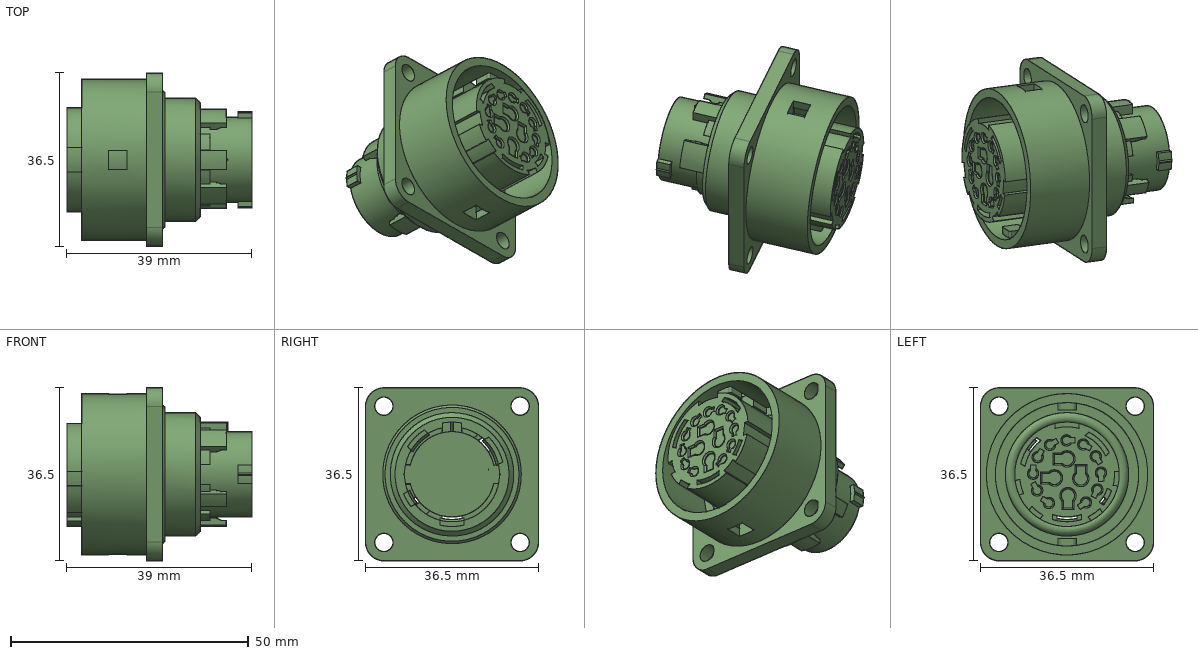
import cadquery as cq
import math


SHELL_FRONT = 3.1
FLANGE_FRONT = 16.75
FLANGE_THICKNESS = 3.4
FLANGE_BACK = FLANGE_FRONT + FLANGE_THICKNESS
COLLAR_BACK = FLANGE_BACK + 0.55
BARREL_BACK = 28.1
RING_FRONT = 26.1
RING_BACK = 30.1
FINGER_BACK = 33.6
KEY_FRONT = 36.0
TOTAL_LENGTH = 39.0
CAVITY_FLOOR = FLANGE_FRONT

INSERT_RADIUS = 9.0
RING_RADIUS = 10.0
NOSE_RADIUS = 11.0
BORE_RADIUS = 15.1
SHELL_RADIUS = 17.0
BARREL_RADIUS = 13.0
BARREL_CHAMFER = 1.0
COLLAR_RADIUS = 14.6
COLLAR_CHAMFER = 0.5
SEAL_OUTER_RADIUS = 13.0
SEAL_SECTION_RADIUS = 1.2

FLANGE_SIDE = 36.5
FLANGE_CORNER_RADIUS = 4.0
BOLT_PITCH = 28.7
BOLT_DIAMETER = 3.8

WINDOW_FRONT = 8.8
WINDOW_BACK = 12.6
WINDOW_WIDTH = 4.0
RIB_FRONT = 5.1
RIB_WIDTH = 3.9
RIB_TOP = 13.55
RIB_FILLET = 0.5

NOSE_GROOVES = [(90, 5.1), (-15, 3.1), (-51, 3.0), (-125, 3.0), (-175, 3.0)]

NOSE_SLOTS = [(31.5, 6.4), (135, 6.1), (210, 3.4), (270, 6.1)]

RING_GAP_WIDTH = 4.2
OPEN_GAP_ANGLES = [45, 225, 270]
BLIND_GAP_ANGLES = [90, 180]

TOP_BLOCK_WIDTH = 4.0
MARK_HALF_WIDTH = 0.3
MARK_HEIGHT = 0.3

FINGERS = [(135, 5.0), (210, 3.1), (270, 5.0), (29.5, 6.0)]
BARB_RADIUS = 9.5
BARB_TIP_RADIUS = 10.55
BARB_TAPER_START = 31.5

KEY_WIDTH = 3.9
KEY_RADIUS = 10.0
KEY_RIDGE_RADIUS = 10.2
KEY_RIDGE_BASE = KEY_RADIUS - 0.05
KEY_RIDGE_HALF_WIDTH = 0.35

CAVITY_DEPTH = 0.5
LARGE_RADIUS = 1.4
LARGE_STEM_WIDTH = 1.9
LARGE_STEM_LENGTH = 2.6
LARGE_CHAMFER = 0.32
LARGE_CAVITIES = [
    (0, 3.25, 0),
    (2.65, -0.75, 0),
    (-2.9, -0.9, 90),
    (-0.2, -4.5, -90),
]
SMALL_RADIUS = 0.87
SMALL_STEM_WIDTH = 1.1
SMALL_STEM_LENGTH = 1.8
SMALL_CHAMFER = 0.32
SMALL_CIRCLE_RADIUS = 7.15
SMALL_COUNT = 11
SMALL_PITCH = 29.4
SMALL_MIDDLE_ANGLE = 89.2


def cylinder(radius, x_start, x_end):
    return cq.Workplane("YZ", origin=(x_start, 0, 0)).circle(radius).extrude(x_end - x_start)


def turn_about_axis(shape, angle):
    return shape.rotate((0, 0, 0), (1, 0, 0), angle)


def radial_bar(inner, outer, width, angle, x_start, x_end):
    """Parallel-sided bar reaching outwards from the axis between two radii."""
    size = (x_end - x_start, outer, width)
    bar = cq.Workplane("XY").box(*size, centered=(False, False, True)).translate((x_start, 0, 0))
    bar = bar.intersect(cylinder(outer, x_start, x_end)).cut(cylinder(inner, x_start, x_end))
    return turn_about_axis(bar, angle)


def turned_body():
    """Shell, nose, seal bead, rear barrel, ring and insert as one turned shape."""
    seal_middle = SEAL_OUTER_RADIUS - SEAL_SECTION_RADIUS
    seal_contact = CAVITY_FLOOR - math.sqrt(SEAL_SECTION_RADIUS**2 - (seal_middle - NOSE_RADIUS) ** 2)
    seal_crest = (CAVITY_FLOOR - SEAL_SECTION_RADIUS, seal_middle)
    profile = (
        cq.Workplane("XY")
        .moveTo(0, 0)
        .lineTo(0, NOSE_RADIUS)
        .lineTo(seal_contact, NOSE_RADIUS)
        .threePointArc(seal_crest, (CAVITY_FLOOR, SEAL_OUTER_RADIUS))
        .lineTo(CAVITY_FLOOR, BORE_RADIUS)
        .lineTo(SHELL_FRONT, BORE_RADIUS)
        .lineTo(SHELL_FRONT, SHELL_RADIUS)
        .lineTo(FLANGE_BACK, SHELL_RADIUS)
        .lineTo(FLANGE_BACK, COLLAR_RADIUS)
        .lineTo(COLLAR_BACK, COLLAR_RADIUS - COLLAR_CHAMFER)
        .lineTo(COLLAR_BACK, BARREL_RADIUS)
        .lineTo(BARREL_BACK - BARREL_CHAMFER, BARREL_RADIUS)
        .lineTo(BARREL_BACK, BARREL_RADIUS - BARREL_CHAMFER)
        .lineTo(BARREL_BACK, RING_RADIUS)
        .lineTo(RING_BACK, RING_RADIUS)
        .lineTo(RING_BACK, INSERT_RADIUS)
        .lineTo(TOTAL_LENGTH, INSERT_RADIUS)
        .lineTo(TOTAL_LENGTH, 0)
        .close()
    )
    return profile.revolve(360, (0, 0, 0), (1, 0, 0))


def flange():
    """Square plate with rounded corners and four holes, open inside the shell wall."""
    plate = (
        cq.Workplane("YZ", origin=(FLANGE_FRONT, 0, 0))
        .rect(FLANGE_SIDE, FLANGE_SIDE)
        .extrude(FLANGE_THICKNESS)
        .edges("|X")
        .fillet(FLANGE_CORNER_RADIUS)
    )
    holes = (
        cq.Workplane("YZ", origin=(FLANGE_FRONT, 0, 0))
        .rect(BOLT_PITCH, BOLT_PITCH, forConstruction=True)
        .vertices()
        .circle(BOLT_DIAMETER / 2)
        .extrude(FLANGE_THICKNESS)
    )
    core = cylinder(BORE_RADIUS, FLANGE_FRONT, FLANGE_BACK)
    return plate.cut(holes).cut(core)


def bore_rib(angle):
    """Rib on the bore wall, rounded at the two upright edges of its front end."""
    wall_overlap = (BORE_RADIUS + SHELL_RADIUS) / 2
    rib = (
        cq.Workplane("XY")
        .box(CAVITY_FLOOR - RIB_FRONT, wall_overlap - RIB_TOP, RIB_WIDTH, centered=(False, False, True))
        .edges("|Y and <X")
        .fillet(RIB_FILLET)
        .translate((RIB_FRONT, RIB_TOP, 0))
    )
    return turn_about_axis(rib, angle)


def latch_finger(angle, width):
    """Finger over the ring with a barb that hooks behind it and tapers to the tip."""
    arm = radial_bar(RING_RADIUS, NOSE_RADIUS, width, 0, BARREL_BACK, FINGER_BACK)
    hook = radial_bar(BARB_RADIUS, NOSE_RADIUS, width, 0, RING_BACK, FINGER_BACK)
    taper = (
        cq.Workplane("XY")
        .moveTo(BARB_TAPER_START, 0)
        .lineTo(BARB_TAPER_START, BARB_RADIUS)
        .lineTo(FINGER_BACK, BARB_TIP_RADIUS)
        .lineTo(FINGER_BACK, 0)
        .close()
        .revolve(360, (0, 0, 0), (1, 0, 0))
    )
    return turn_about_axis(arm.union(hook.cut(taper)), angle)


def top_block():
    """Block standing on the insert, its end face carrying a V-shaped ridge."""
    block = radial_bar(INSERT_RADIUS, NOSE_RADIUS, TOP_BLOCK_WIDTH, 90, BARREL_BACK, FINGER_BACK)
    mark = (
        cq.Workplane("XY", origin=(0, 0, INSERT_RADIUS))
        .moveTo(FINGER_BACK, -MARK_HALF_WIDTH)
        .lineTo(FINGER_BACK + MARK_HEIGHT, 0)
        .lineTo(FINGER_BACK, MARK_HALF_WIDTH)
        .close()
        .extrude(NOSE_RADIUS - INSERT_RADIUS)
    )
    return block.union(mark)


def rear_key(angle):
    """Key on the rear of the insert with a V-shaped ridge along its middle."""
    key = radial_bar(INSERT_RADIUS, KEY_RADIUS, KEY_WIDTH, 0, KEY_FRONT, TOTAL_LENGTH)
    ridge = (
        cq.Workplane("YZ", origin=(KEY_FRONT, 0, 0))
        .moveTo(INSERT_RADIUS, -KEY_RIDGE_HALF_WIDTH)
        .lineTo(KEY_RIDGE_BASE, -KEY_RIDGE_HALF_WIDTH)
        .lineTo(KEY_RIDGE_RADIUS, 0)
        .lineTo(KEY_RIDGE_BASE, KEY_RIDGE_HALF_WIDTH)
        .lineTo(INSERT_RADIUS, KEY_RIDGE_HALF_WIDTH)
        .close()
        .extrude(TOTAL_LENGTH - KEY_FRONT)
    )
    return turn_about_axis(key.union(ridge), angle)


def keyhole(radius, stem_width, stem_length):
    """Blind round hole with a straight stem towards +Y, sunk from the front face."""
    stem = cq.Workplane("XY").box(CAVITY_DEPTH, stem_length, stem_width, centered=(False, False, True))
    return cylinder(radius, 0, CAVITY_DEPTH).union(stem)


def large_cavity(y, z, stem_angle):
    """Keyhole with its whole rim chamfered."""
    hole = keyhole(LARGE_RADIUS, LARGE_STEM_WIDTH, LARGE_STEM_LENGTH)
    outline = hole.faces("<X").wires().val()
    wide_outline = outline.offset2D(LARGE_CHAMFER, "intersection")[0]
    deep_outline = outline.translate(cq.Vector(LARGE_CHAMFER, 0, 0))
    rim = cq.Workplane(cq.Solid.makeLoft([wide_outline, deep_outline], True))
    hole = hole.union(rim)
    return turn_about_axis(hole, stem_angle).translate((0, y, z))


def small_cavity(angle):
    """Keyhole with a countersunk round part and a stem along the contact circle."""
    hole = keyhole(SMALL_RADIUS, SMALL_STEM_WIDTH, SMALL_STEM_LENGTH)
    countersink = (
        cq.Workplane("YZ")
        .circle(SMALL_RADIUS + SMALL_CHAMFER)
        .workplane(offset=SMALL_CHAMFER)
        .circle(SMALL_RADIUS)
        .loft()
    )
    hole = turn_about_axis(hole.union(countersink), 90)
    return turn_about_axis(hole.translate((0, SMALL_CIRCLE_RADIUS, 0)), angle)


body = turned_body().union(flange())

for side_angle in (90, -90):
    body = body.union(bore_rib(side_angle))
    body = body.cut(
        radial_bar(BARREL_RADIUS, FLANGE_SIDE / 2, WINDOW_WIDTH, side_angle, WINDOW_FRONT, WINDOW_BACK)
    )

for groove_angle, groove_width in NOSE_GROOVES:
    body = body.cut(radial_bar(RING_RADIUS, NOSE_RADIUS, groove_width, groove_angle, 0, CAVITY_FLOOR))

for slot_angle, slot_width in NOSE_SLOTS:
    body = body.cut(radial_bar(INSERT_RADIUS, RING_RADIUS, slot_width, slot_angle, 0, RING_FRONT))

for gap_angle in OPEN_GAP_ANGLES:
    body = body.cut(radial_bar(INSERT_RADIUS, RING_RADIUS, RING_GAP_WIDTH, gap_angle, RING_FRONT, RING_BACK))

for gap_angle in BLIND_GAP_ANGLES:
    body = body.cut(radial_bar(INSERT_RADIUS, RING_RADIUS, RING_GAP_WIDTH, gap_angle, BARREL_BACK, RING_BACK))

for finger_angle, finger_width in FINGERS:
    body = body.union(latch_finger(finger_angle, finger_width))
body = body.union(top_block())

for key_angle in (0, 180):
    body = body.union(rear_key(key_angle))

for cavity_y, cavity_z, cavity_angle in LARGE_CAVITIES:
    body = body.cut(large_cavity(cavity_y, cavity_z, cavity_angle))

for index in range(SMALL_COUNT):
    offset = index - (SMALL_COUNT - 1) / 2
    body = body.cut(small_cavity(SMALL_MIDDLE_ANGLE + offset * SMALL_PITCH))

result = body